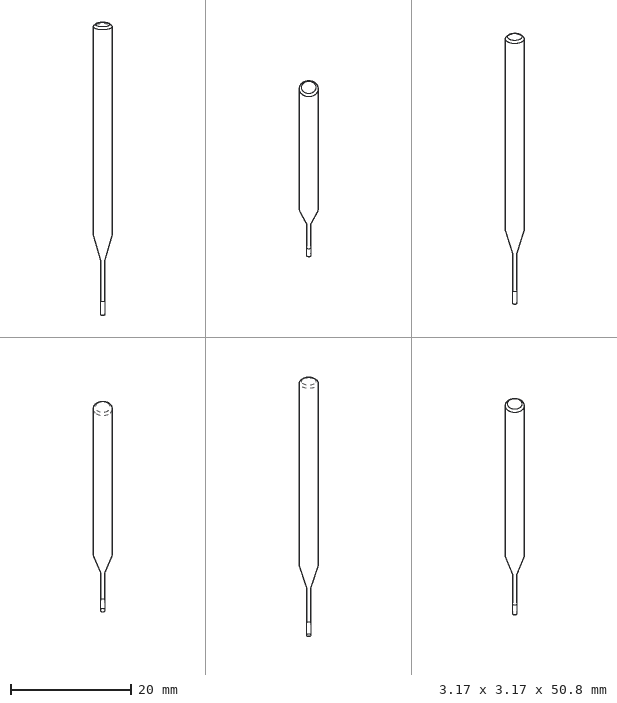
import cadquery as cq

total_length = 50.8
shank_diameter = 3.175
end_chamfer = 0.38

tip_diameter = 0.8
tip_length = 2.4

taper_top = 13.95
taper_bottom = 9.6

neck_diameter = 0.72
neck_step_height = 0.15

shank_radius = shank_diameter / 2
tip_radius = tip_diameter / 2
neck_radius = neck_diameter / 2


def turned(profile):
    """Revolve a closed outline of (radius, height) points about the Z axis."""
    return cq.Workplane("XZ").polyline(profile).close().revolve(360, (0, 0), (0, 1))


def make_shank():
    """Chamfered cylinder tapering down to the relieved neck that carries the tip."""
    return turned(
        [
            (0, tip_length),
            (tip_radius, tip_length),
            (neck_radius, tip_length + neck_step_height),
            (neck_radius, taper_bottom - neck_step_height),
            (tip_radius, taper_bottom),
            (shank_radius, taper_top),
            (shank_radius, total_length - end_chamfer),
            (shank_radius - end_chamfer, total_length),
            (0, total_length),
        ]
    )


def make_cutting_tip():
    """Plain cylinder on the end face of the neck."""
    return cq.Workplane("XY").circle(tip_radius).extrude(tip_length)


shank = make_shank()
cutting_tip = make_cutting_tip()

result = cq.Compound.makeCompound([shank.val(), cutting_tip.val()])